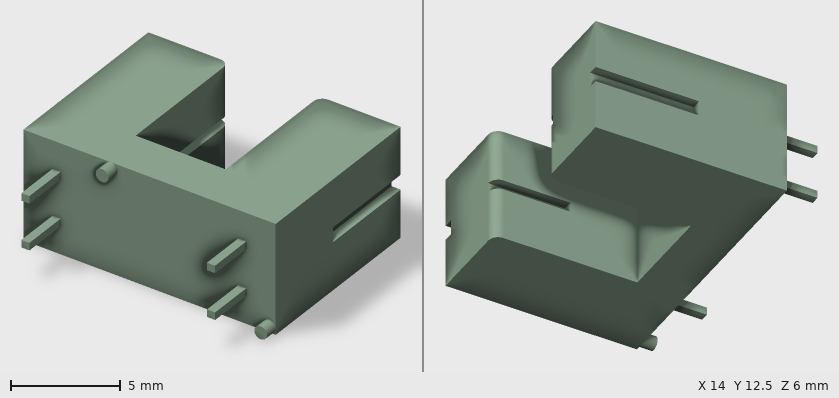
import cadquery as cq

body_width = 14.0
body_depth = 10.0
body_height = 6.0
gap_width = 5.0
gap_depth = 7.5
mouth_radius = 0.5
selection_margin = 0.14

recess_length = 5.4
recess_height = 0.8
recess_depth = 0.5
slit_length = 4.0
slit_height = 0.5
slit_depth = 0.5

lead_length = 2.5
lead_width = 0.45
lead_height = 0.4
lead_pitch_x = 10.3
lead_pitch_z = 2.53

peg_diameter = 0.7
peg_length = 0.7

peg_radius = peg_diameter / 2
peg_places = [
    (-gap_width / 2 + peg_radius, body_height / 2 - peg_radius),
    (body_width / 2 - peg_radius, -body_height / 2 + peg_radius),
]


def make_body():
    block = cq.Workplane("XY").box(body_width, body_depth, body_height).translate((0, body_depth / 2, 0))
    gap = (
        cq.Workplane("XY")
        .box(gap_width, gap_depth, body_height)
        .translate((0, body_depth - gap_depth / 2, 0))
    )
    mouth_corners = cq.selectors.BoxSelector(
        (-gap_width / 2 - selection_margin, body_depth - selection_margin, -body_height),
        (gap_width / 2 + selection_margin, body_depth + selection_margin, body_height),
    )
    return block.cut(gap).edges("|Z").edges(mouth_corners).fillet(mouth_radius)


def groove(center_x, depth, length, height):
    """Straight groove cutter that ends at the arm tips."""
    return cq.Workplane("XY").box(depth, length, height).translate((center_x, body_depth - length / 2, 0))


def back_face():
    """Workplane on the back face, with its normal toward -Y."""
    return cq.Workplane("XZ")


result = make_body()

for side in (-1, 1):
    recess_x = side * (body_width - recess_depth) / 2
    slit_x = side * (gap_width + slit_depth) / 2
    result = result.cut(groove(recess_x, recess_depth, recess_length, recess_height))
    result = result.cut(groove(slit_x, slit_depth, slit_length, slit_height))

leads = back_face().rarray(lead_pitch_x, lead_pitch_z, 2, 2).rect(lead_width, lead_height).extrude(lead_length)
pegs = back_face().pushPoints(peg_places).circle(peg_radius).extrude(peg_length)
result = result.union(leads).union(pegs)